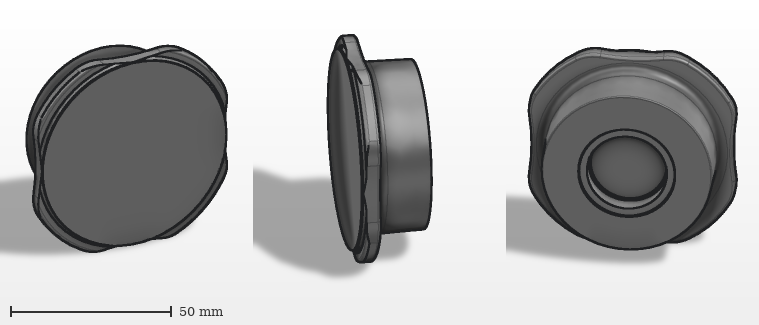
import cadquery as cq
import math

total_length = 23.0
across_lobes = 64.7

hub_end_radius = 26.65
hub_root_radius = 26.9
hub_end_round = 0.4
root_fillet = 3.0

flange_front = 16.95
flange_back = 21.55
flange_corner_radius = 35.45
flange_front_round = 1.0
flange_back_round = 1.1
corner_half_angle = 15.0
envelope_clearance = 0.65

disc_radius = 31.5
disc_fillet = 1.0

recess_diameter = 29.8
recess_depth = 0.45
recess_wall_taper = 0.25
bore_diameter = 25.0
bore_depth = 5.95
floor_step_radius = 11.85
floor_step_depth = 0.45
floor_step_taper = 0.2

side_count = 4
side_angle = 360 / side_count


def turn(point, angle):
    """Rotate a (y, z) point about the part axis, angle in degrees."""
    y, z = point
    cosine = math.cos(math.radians(angle))
    sine = math.sin(math.radians(angle))
    return (y * cosine - z * sine, y * sine + z * cosine)


def polar(centre, radius, angle):
    """Point at the given angle (degrees from +Y) around a (y, z) centre."""
    a = math.radians(angle)
    return (centre[0] + radius * math.cos(a), centre[1] + radius * math.sin(a))


def flange_outline():
    """Square-like outline of corner arcs, lobes and hollow sides, all tangent."""
    corner_angle = side_angle / 2
    lobe_angle = corner_angle + corner_half_angle
    reach = math.sin(math.radians(lobe_angle))
    lobe_radius = (across_lobes / 2 - flange_corner_radius * reach) / (1 - reach)
    lobe_centre = polar((0, 0), flange_corner_radius - lobe_radius, lobe_angle)

    hollow_depth = across_lobes / 2 - disc_radius
    centre_distance = (lobe_centre[0] ** 2 + hollow_depth ** 2) / (2 * hollow_depth)
    tangent_angle = 90 + math.degrees(math.asin(lobe_centre[0] / centre_distance))

    corner_end = polar((0, 0), flange_corner_radius, lobe_angle)
    lobe_middle = polar(lobe_centre, lobe_radius, (lobe_angle + tangent_angle) / 2)
    lobe_end = polar(lobe_centre, lobe_radius, tangent_angle)
    hollow_middle = (0, disc_radius)

    def mirrored(point):
        return (-point[0], point[1])

    corner_middle = polar((0, 0), flange_corner_radius, corner_angle + side_angle)
    next_corner_end = turn(corner_end, side_angle)
    outline = cq.Workplane("YZ").workplane(offset=flange_front).moveTo(*corner_end)
    for side in range(side_count):
        angle = side_angle * side
        arcs = [
            (lobe_middle, lobe_end),
            (hollow_middle, mirrored(lobe_end)),
            (mirrored(lobe_middle), mirrored(corner_end)),
            (corner_middle, next_corner_end),
        ]
        for middle, end in arcs:
            outline = outline.threePointArc(turn(middle, angle), turn(end, angle))
    return outline.close()


def quarter_arc_inset(radius):
    """Distance from the sharp corner to the middle of a quarter round, along each axis."""
    return radius * (1 - math.sqrt(0.5))


def revolve_about_x(profile):
    return profile.close().revolve(360, (0, 0, 0), (1, 0, 0))


def make_flange():
    flange = flange_outline().extrude(total_length - flange_front)
    flange = flange.faces("<X").edges().fillet(flange_front_round)
    fillet_inset = quarter_arc_inset(disc_fillet)
    round_inset = quarter_arc_inset(flange_back_round)
    round_start = flange_back - flange_back_round
    outside_radius = flange_corner_radius + envelope_clearance
    envelope = revolve_about_x(
        cq.Workplane("XY")
        .moveTo(flange_front, 0)
        .lineTo(flange_front, outside_radius)
        .lineTo(round_start, outside_radius)
        .lineTo(round_start, flange_corner_radius)
        .threePointArc(
            (flange_back - round_inset, flange_corner_radius - round_inset),
            (flange_back, flange_corner_radius - flange_back_round),
        )
        .lineTo(flange_back, disc_radius + disc_fillet)
        .threePointArc(
            (flange_back + fillet_inset, disc_radius + fillet_inset),
            (flange_back + disc_fillet, disc_radius),
        )
        .lineTo(total_length, disc_radius)
        .lineTo(total_length, 0)
    )
    return flange.intersect(envelope)


def make_hub():
    end_inset = quarter_arc_inset(hub_end_round)
    root_inset = quarter_arc_inset(root_fillet)
    fillet_top = hub_root_radius + root_fillet
    embedded_end = flange_front + flange_front_round
    return revolve_about_x(
        cq.Workplane("XY")
        .lineTo(0, hub_end_radius - hub_end_round)
        .threePointArc((end_inset, hub_end_radius - end_inset), (hub_end_round, hub_end_radius))
        .lineTo(flange_front - root_fillet, hub_root_radius)
        .threePointArc(
            (flange_front - root_inset, hub_root_radius + root_inset),
            (flange_front, fillet_top),
        )
        .lineTo(embedded_end, fillet_top)
        .lineTo(embedded_end, 0)
    )


def make_recess():
    recess_radius = recess_diameter / 2
    bore_radius = bore_diameter / 2
    floor_depth = bore_depth + floor_step_depth
    return revolve_about_x(
        cq.Workplane("XY")
        .lineTo(0, recess_radius + recess_wall_taper)
        .lineTo(recess_depth, recess_radius)
        .lineTo(recess_depth, bore_radius)
        .lineTo(bore_depth, bore_radius)
        .lineTo(bore_depth, floor_step_radius + floor_step_taper)
        .lineTo(floor_depth, floor_step_radius)
        .lineTo(floor_depth, 0)
    )


result = make_flange().union(make_hub()).cut(make_recess())